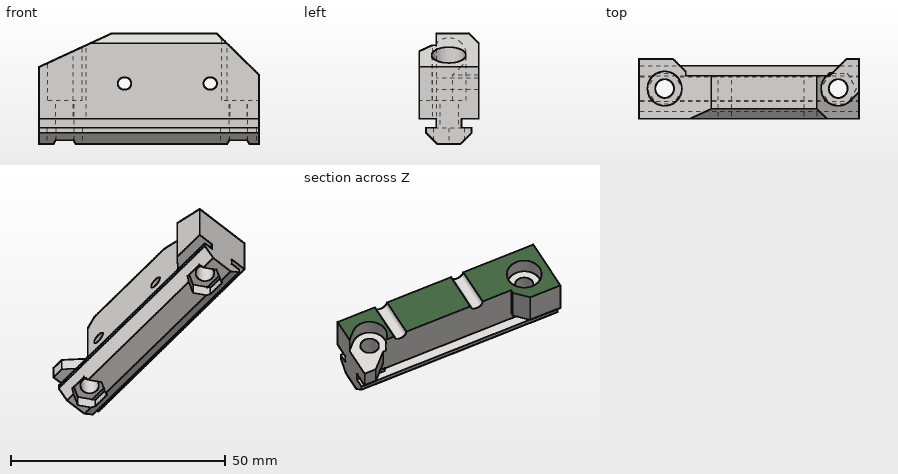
import cadquery as cq
import math

length = 51.4
width = 14.0
height = 25.8
body_bottom = 5.9
left_end_height = 18.0
top_start = 16.9
top_end = 41.55
right_end_height = 16.15
front_chamfer = 2.3

rail_center = width / 2 + 0.05
neck_width = 5.95
flange_width = 10.7
flange_top = 3.85
flange_bevel_top = 2.6
rail_bottom_width = flange_width - 2 * flange_bevel_top

recess_face = rail_center + neck_width / 2
recess_left = 11.0
left_bevel = 3.05
recess_right = 44.5

screw_positions = (6.0, 46.5)
screw_diameter = 4.3
counterbore_diameter = 8.0
counterbore_floor = 10.3
nut_across_flats = 7.2
nut_pocket_depth = flange_top
relief_angle = 45
relief_length = 15.4

cross_hole_positions = (20.0, 40.0)
cross_hole_height = 14.15
cross_hole_length = 3.1
cross_hole_diameter = 2.8


def make_body():
    """Block with two sloping ends and a chamfered front top edge."""
    outline = [
        (0, body_bottom),
        (length, body_bottom),
        (length, right_end_height),
        (top_end, height),
        (top_start, height),
        (0, left_end_height),
    ]
    body = cq.Workplane("XZ").polyline(outline).close().extrude(-width)
    chamfer = (
        cq.Workplane("YZ")
        .polyline([(0, height), (front_chamfer, height), (0, height - front_chamfer)])
        .close()
        .extrude(length)
    )
    return body.cut(chamfer)


def make_recess():
    """Full-height cut in the back face, leaving a wing at each end."""
    depth = width - recess_face
    outline = [
        (recess_left, recess_face),
        (recess_right, recess_face),
        (recess_right + depth, width),
        (recess_left - left_bevel, width),
        (recess_left, width - left_bevel),
    ]
    return cq.Workplane("XY").polyline(outline).close().extrude(height)


def make_rail():
    """Neck and bevelled flange running the whole length."""
    half_profile = [
        (neck_width / 2, body_bottom),
        (neck_width / 2, flange_top),
        (flange_width / 2, flange_top),
        (flange_width / 2, flange_bevel_top),
        (rail_bottom_width / 2, 0),
    ]
    right = [(rail_center + y, z) for y, z in half_profile]
    left = [(rail_center - y, z) for y, z in reversed(half_profile)]
    return cq.Workplane("YZ").polyline(right + left).close().extrude(length)


def make_screw_hole(x):
    """Through hole with a round counterbore above and a nut pocket below."""
    base = cq.Workplane("XY").center(x, rail_center)
    hole = base.circle(screw_diameter / 2).extrude(height)
    counterbore = (
        base.workplane(offset=counterbore_floor)
        .circle(counterbore_diameter / 2)
        .extrude(height - counterbore_floor)
    )
    nut_across_corners = nut_across_flats / math.cos(math.radians(30))
    nut_pocket = base.polygon(6, nut_across_corners).extrude(nut_pocket_depth)
    return hole.union(counterbore).union(nut_pocket)


def make_corner_relief(x):
    """Diagonal slot opening a counterbore towards the back corner."""
    return (
        cq.Workplane("XY")
        .rect(relief_length, counterbore_diameter, centered=(False, True))
        .extrude(height - counterbore_floor)
        .rotate((0, 0, 0), (0, 0, 1), relief_angle)
        .translate((x, rail_center, counterbore_floor))
    )


def make_cross_hole(x):
    """Short slot passing through the block from front to back."""
    return (
        cq.Workplane("XZ", origin=(x, 0, cross_hole_height))
        .slot2D(cross_hole_length, cross_hole_diameter)
        .extrude(-width)
    )


result = make_body().cut(make_recess()).union(make_rail())
for screw_x in screw_positions:
    result = result.cut(make_screw_hole(screw_x))
result = result.cut(make_corner_relief(screw_positions[-1]))
for hole_x in cross_hole_positions:
    result = result.cut(make_cross_hole(hole_x))